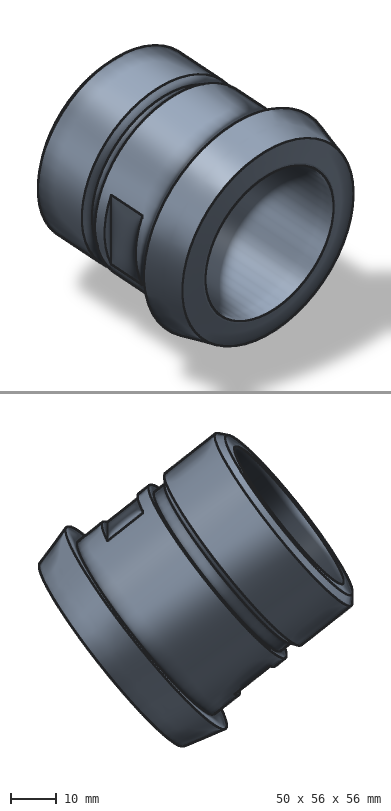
import cadquery as cq

length = 50.0
end_chamfer = 1.5
groove_start = 15.6
groove_taper = 1.35
groove_end = 20.0
flange_start = 40.0
rim_length = 0.5

bore_radius = 38.0 / 2
groove_radius = 44.3 / 2
spigot_radius = 47.8 / 2
body_radius = 48.0 / 2
flange_radius = 56 / 2
rim_radius = 25.4
end_face_radius = 19.6

flat_start = 23.0
flat_length = 10.0
across_flats = 44.0


def revolved_body():
    """Hollow sleeve with end chamfer, relief groove and tapered flange."""
    profile = [
        (0, bore_radius),
        (0, groove_radius),
        (end_chamfer, spigot_radius),
        (groove_start, spigot_radius),
        (groove_start + groove_taper, groove_radius),
        (groove_end, groove_radius),
        (groove_end, body_radius),
        (flange_start, body_radius),
        (flange_start, flange_radius),
        (length - rim_length, rim_radius),
        (length, end_face_radius),
        (length, bore_radius),
    ]
    return cq.Workplane("XY").polyline(profile).close().revolve(360, (0, 0, 0), (1, 0, 0))


def flat_cutter(side):
    """Block removing the material outside one flat; side is +1 or -1 along Y."""
    depth = flange_radius - across_flats / 2
    center_y = side * (across_flats / 2 + depth / 2)
    block = cq.Workplane("XY").box(flat_length, depth, 2 * flange_radius)
    return block.translate((flat_start + flat_length / 2, center_y, 0))


result = revolved_body()
for side in (-1, 1):
    result = result.cut(flat_cutter(side))

result = result.translate((-length / 2, 0, 0))